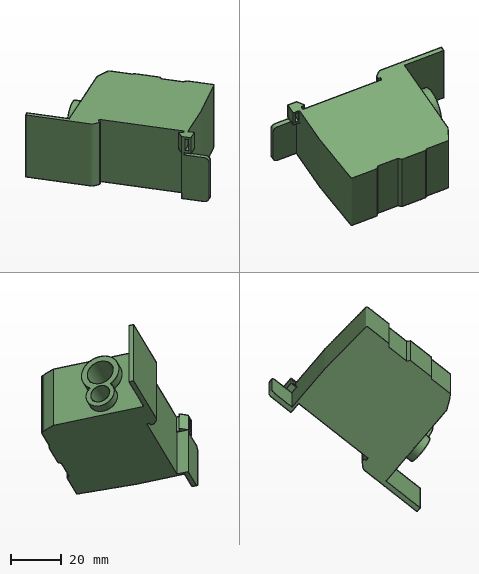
import cadquery as cq
import math


LENGTH = 75.5
HEIGHT = 46.42
WIDTH = 27.51

WALL_LEFT = 17.4
WALL_RIGHT = 65.3
FLANGE_THICKNESS = 2.0
BEVEL_BOTTOM_Y = 39.75
BEVEL_KNEE = (19.25, 43.75)
BEVEL_TOP = (20.1, 45.15)
SHOULDER_Y = 45.82
SHOULDER_START_X = 20.75
SHOULDER_END_X = 30.1
FIRST_RIDGE_START_X = 30.8
FIRST_RIDGE_END_X = 41.35
NOTCH_START_X = 42.4
NOTCH_END_X = 51.3
NOTCH_Y = 45.28
SECOND_RIDGE_START_X = 52.35
CORNER_START_X = 63.2
CORNER_END = (63.7, 45.9)
TAPER_END_Y = 22.3

RECESS_Y = 4.75
RECESS_LEFT = 28.9
RECESS_RIGHT = 64.2
LIP_X = 29.85
LIP_TOP_Y = 3.6
LIP_BOTTOM_Y = 2.25
FOOT_BEND_X = 26.65
FOOT_BEND_RADIUS = 2.26
BEND_ANGLE = math.radians(45)

TAB_WIDTH = 19.5
TAB_CORNER_RADIUS = 2.0

CLIP_BOTTOM_Z = 20.4
CLIP_WIDTH = WIDTH - CLIP_BOTTOM_Z
CLIP_RIGHT = 68.05
CLIP_FILLET = 0.4
WINDOW_LEFT = 65.6
WINDOW_RIGHT = 67.1
WINDOW_BOTTOM_Z = 21.6
WINDOW_TOP_Z = 26.55

LATCH_STEM_X = 63.7
LATCH_STEM_BOTTOM_Y = 3.4
LATCH_STEM_FILLET = 0.2
LATCH_BARB_Y = LATCH_STEM_BOTTOM_Y - LATCH_STEM_FILLET
LATCH_TIP_START_X = 62.5
LATCH_TIP_MIDDLE = (62.2, 2.95)
LATCH_TIP_END = (62.3, 2.6)
LATCH_RAMP_KNEE = (63.45, 0.92)

SLEEVE_Y = 18.85
SLEEVE_LENGTH = 3.75
SLEEVES = (
    (18.15, 15.65, 10.8),
    (7.75, 11.8, 7.8),
)
BORE_DEPTH = 15.0


def arc_point(centre_x, centre_y, radius, angle):
    """Point on a circle, with the angle measured from the downward direction."""
    return (centre_x + radius * math.sin(angle), centre_y - radius * math.cos(angle))


def make_housing():
    """Full-width housing with the left flange, both feet and the rail recess."""
    bend_middle = arc_point(FOOT_BEND_X, FOOT_BEND_RADIUS, FOOT_BEND_RADIUS, BEND_ANGLE / 2)
    bend_end = arc_point(FOOT_BEND_X, FOOT_BEND_RADIUS, FOOT_BEND_RADIUS, BEND_ANGLE)
    profile = (
        cq.Workplane("XY")
        .lineTo(FOOT_BEND_X, 0)
        .threePointArc(bend_middle, bend_end)
        .lineTo(LIP_X, LIP_BOTTOM_Y)
        .lineTo(LIP_X, LIP_TOP_Y)
        .lineTo(RECESS_LEFT, LIP_TOP_Y)
        .lineTo(RECESS_LEFT, RECESS_Y)
        .lineTo(RECESS_RIGHT, RECESS_Y)
        .lineTo(RECESS_RIGHT, 0)
        .lineTo(WALL_RIGHT, 0)
        .lineTo(WALL_RIGHT, TAPER_END_Y)
        .lineTo(*CORNER_END)
        .tangentArcPoint((CORNER_START_X, HEIGHT), relative=False)
        .lineTo(SECOND_RIDGE_START_X, HEIGHT)
        .lineTo(NOTCH_END_X, NOTCH_Y)
        .lineTo(NOTCH_START_X, NOTCH_Y)
        .lineTo(FIRST_RIDGE_END_X, HEIGHT)
        .lineTo(FIRST_RIDGE_START_X, HEIGHT)
        .lineTo(SHOULDER_END_X, SHOULDER_Y)
        .lineTo(SHOULDER_START_X, SHOULDER_Y)
        .tangentArcPoint(BEVEL_TOP, relative=False)
        .lineTo(*BEVEL_KNEE)
        .lineTo(WALL_LEFT, BEVEL_BOTTOM_Y)
        .lineTo(WALL_LEFT, FLANGE_THICKNESS)
        .lineTo(0, FLANGE_THICKNESS)
        .close()
    )
    return profile.extrude(WIDTH)


def make_tab():
    """Right flange with two rounded outer corners."""
    tab = cq.Workplane("XY").box(
        LENGTH - WALL_RIGHT, FLANGE_THICKNESS, TAB_WIDTH, centered=False
    )
    return tab.edges("|Y and >X").fillet(TAB_CORNER_RADIUS).translate((WALL_RIGHT, 0, 0))


def make_clip():
    """Clip block with its window, joined to the wall by a small concave fillet."""
    block = (
        cq.Workplane("XY", origin=(0, 0, CLIP_BOTTOM_Z))
        .moveTo(WALL_RIGHT, 0)
        .lineTo(CLIP_RIGHT, 0)
        .lineTo(CLIP_RIGHT, RECESS_Y)
        .lineTo(WALL_RIGHT + CLIP_FILLET, RECESS_Y)
        .radiusArc((WALL_RIGHT, RECESS_Y + CLIP_FILLET), CLIP_FILLET)
        .close()
        .extrude(CLIP_WIDTH)
    )
    window = (
        cq.Workplane("XY")
        .box(WINDOW_RIGHT - WINDOW_LEFT, RECESS_Y, WINDOW_TOP_Z - WINDOW_BOTTOM_Z, centered=False)
        .translate((WINDOW_LEFT, 0, WINDOW_BOTTOM_Z))
    )
    return block.cut(window)


def make_latch():
    """Hooked nose that grips the rail, on the recess side of the clip."""
    return (
        cq.Workplane("XY", origin=(0, 0, CLIP_BOTTOM_Z))
        .moveTo(RECESS_RIGHT, 0)
        .lineTo(RECESS_RIGHT, RECESS_Y)
        .lineTo(LATCH_STEM_X, RECESS_Y)
        .lineTo(LATCH_STEM_X, LATCH_STEM_BOTTOM_Y)
        .radiusArc((LATCH_STEM_X - LATCH_STEM_FILLET, LATCH_BARB_Y), LATCH_STEM_FILLET)
        .lineTo(LATCH_TIP_START_X, LATCH_BARB_Y)
        .threePointArc(LATCH_TIP_MIDDLE, LATCH_TIP_END)
        .lineTo(*LATCH_RAMP_KNEE)
        .close()
        .extrude(CLIP_WIDTH)
    )


def sleeve_cylinder(centre_z, diameter, length):
    """Cylinder along +X that starts at the open end of the sleeves."""
    start = cq.Vector(WALL_LEFT - SLEEVE_LENGTH, SLEEVE_Y, centre_z)
    return cq.Workplane(cq.Solid.makeCylinder(diameter / 2, length, start, cq.Vector(1, 0, 0)))


def add_sleeves(body):
    """Body with the two overlapping sleeves added and their blind bores cut."""
    for centre_z, outer_diameter, _ in SLEEVES:
        body = body.union(sleeve_cylinder(centre_z, outer_diameter, SLEEVE_LENGTH))
    for centre_z, _, bore_diameter in SLEEVES:
        body = body.cut(sleeve_cylinder(centre_z, bore_diameter, BORE_DEPTH))
    return body


terminal_body = make_housing().union(make_tab()).union(make_clip()).union(make_latch())
result = add_sleeves(terminal_body)